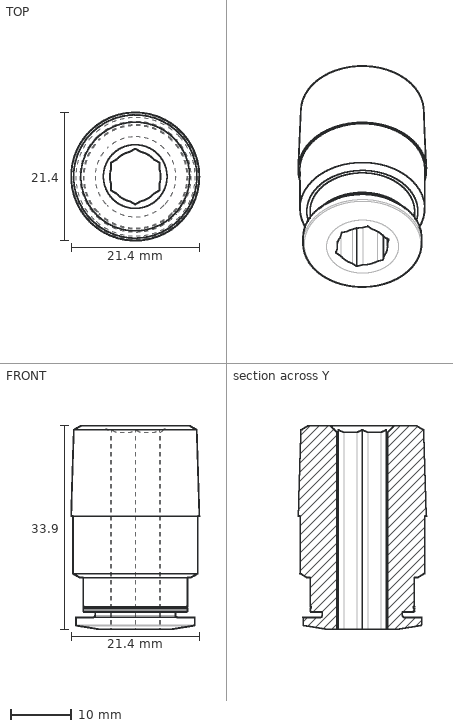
import cadquery as cq

TOTAL_HEIGHT = 33.9
FLANGE_TOP = 2.0
LIP_BOTTOM = 2.9
LIP_TOP = 3.6
NECK_BOTTOM = 3.8
BODY_BOTTOM = 8.6
GRIP_BOTTOM = 18.85

FLANGE_DIAMETER = 19.8
FOOT_FACE_DIAMETER = 12.0
FOOT_TAPER_HEIGHT = 0.6
FOOT_EDGE_RADIUS = 0.2

GROOVE_DIAMETER = 13.4
GROOVE_FILLET = 0.4
NECK_DIAMETER = 17.4
LIP_CHAMFER = 0.15

BODY_DIAMETER = 20.8
BODY_CHAMFER_WIDTH = 1.15
BODY_CHAMFER_HEIGHT = 0.7
GRIP_BASE_DIAMETER = 21.38
GRIP_TOP_DIAMETER = 20.5
TOP_FACE_DIAMETER = 18.1
TOP_CHAMFER_HEIGHT = 0.7

HEX_ACROSS_FLATS = 8.0
RELIEF_DIAMETER = 8.4
MOUTH_DIAMETER = 10.6
MOUTH_DEPTH = 1.3


def turned_body():
    """Solid of revolution about Z, built from a radius-height half profile."""
    flange_radius = FLANGE_DIAMETER / 2
    groove_radius = GROOVE_DIAMETER / 2
    neck_radius = NECK_DIAMETER / 2
    body_radius = BODY_DIAMETER / 2
    slit_radius = neck_radius - LIP_CHAMFER
    grip_shoulder = TOTAL_HEIGHT - TOP_CHAMFER_HEIGHT

    profile = cq.Workplane("XZ").lineTo(FOOT_FACE_DIAMETER / 2, 0)

    profile = (
        profile.lineTo(flange_radius - FOOT_EDGE_RADIUS, FOOT_TAPER_HEIGHT)
        .radiusArc((flange_radius, FOOT_TAPER_HEIGHT + FOOT_EDGE_RADIUS), -FOOT_EDGE_RADIUS)
        .lineTo(flange_radius, FLANGE_TOP)
    )

    profile = (
        profile.lineTo(groove_radius + GROOVE_FILLET, FLANGE_TOP)
        .radiusArc((groove_radius, FLANGE_TOP + GROOVE_FILLET), GROOVE_FILLET)
        .lineTo(groove_radius, LIP_BOTTOM)
    )

    profile = (
        profile.lineTo(slit_radius, LIP_BOTTOM)
        .lineTo(neck_radius, LIP_BOTTOM + LIP_CHAMFER)
        .lineTo(neck_radius, LIP_TOP - LIP_CHAMFER)
        .lineTo(slit_radius, LIP_TOP)
        .lineTo(slit_radius, NECK_BOTTOM)
    )

    profile = (
        profile.lineTo(neck_radius, NECK_BOTTOM)
        .lineTo(neck_radius, BODY_BOTTOM)
        .lineTo(body_radius - BODY_CHAMFER_WIDTH, BODY_BOTTOM)
        .lineTo(body_radius, BODY_BOTTOM + BODY_CHAMFER_HEIGHT)
        .lineTo(body_radius, GRIP_BOTTOM)
    )

    profile = (
        profile.lineTo(GRIP_BASE_DIAMETER / 2, GRIP_BOTTOM)
        .lineTo(GRIP_TOP_DIAMETER / 2, grip_shoulder)
        .lineTo(TOP_FACE_DIAMETER / 2, TOTAL_HEIGHT)
        .lineTo(0, TOTAL_HEIGHT)
        .close()
    )
    return profile.revolve(360, (0, 0), (0, 1))


def socket_cutter():
    """Hexagon with corners on the Y axis, its relief bore and the 45 degree mouth."""
    hexagon = (
        cq.Workplane("XY")
        .polygon(6, HEX_ACROSS_FLATS, circumscribed=True)
        .extrude(TOTAL_HEIGHT)
    )
    relief = cq.Workplane("XY").circle(RELIEF_DIAMETER / 2).extrude(TOTAL_HEIGHT)
    mouth_radius = MOUTH_DIAMETER / 2
    mouth = cq.Workplane("XY").add(
        cq.Solid.makeCone(
            mouth_radius - MOUTH_DEPTH,
            mouth_radius,
            MOUTH_DEPTH,
            cq.Vector(0, 0, TOTAL_HEIGHT - MOUTH_DEPTH),
        )
    )
    return hexagon.union(relief).union(mouth)


result = turned_body().cut(socket_cutter())